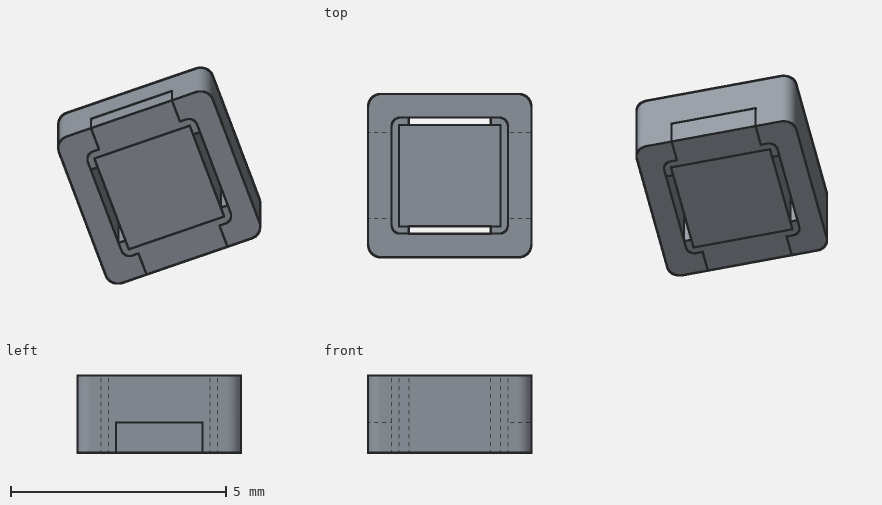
import cadquery as cq

ring_side = 3.8
height = 1.8
ring_corner_radius = 0.305
window_side = 2.698
window_corner_radius = 0.2

core_side = 2.355

slot_length = 1.9

pad_width = 2.0
pad_height = 0.705
pad_depth = (ring_side - window_side) / 2


def square_prism(side):
    """Centred square block of the full part height."""
    return cq.Workplane("XY").rect(side, side).extrude(height)


def make_window():
    """Rounded square column that fills the whole ring window."""
    return square_prism(window_side).edges("|Z").fillet(window_corner_radius)


def make_pad(side):
    """Pad block inside the ring wall, flush with the outside of the ring."""
    pad_center = side * (ring_side - pad_depth) / 2
    return (
        cq.Workplane("XY")
        .center(pad_center, 0)
        .rect(pad_depth, pad_width)
        .extrude(pad_height)
    )


def make_core():
    """Plain square core, flush with the ring at top and bottom."""
    return square_prism(core_side)


def make_terminal(side):
    """C-shaped filler between core and ring, with its pad; side is -1 or +1 along X."""
    filler_width = (window_side - slot_length) / 2
    filler_center = side * (window_side - filler_width) / 2
    filler_zone = (
        cq.Workplane("XY")
        .center(filler_center, 0)
        .rect(filler_width, window_side)
        .extrude(height)
    )
    filler = make_window().intersect(filler_zone).cut(make_core())
    return filler.union(make_pad(side))


def make_ring():
    """Frame with the window and a notch in each X wall that holds a terminal pad."""
    ring = square_prism(ring_side).edges("|Z").fillet(ring_corner_radius)
    ring = ring.cut(make_window())
    for side in (-1, 1):
        ring = ring.cut(make_pad(side))
    return ring


ring = make_ring().solids()
core = make_core()
terminals = [make_terminal(side).solids() for side in (-1, 1)]

result = cq.Compound.makeCompound(
    [ring.val(), core.val(), *[terminal.val() for terminal in terminals]]
)